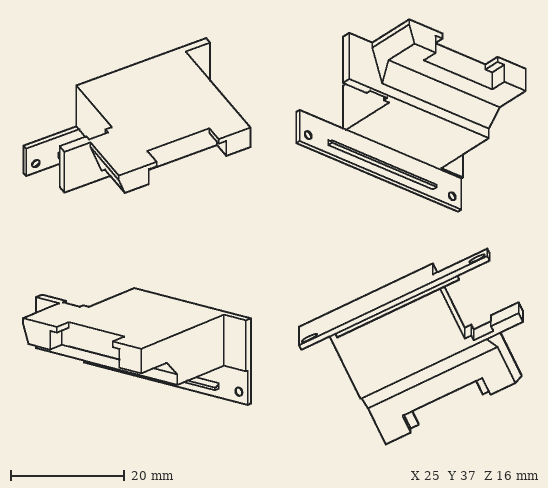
import cadquery as cq

length = 37.0
height = 16.0
plate_thickness = 0.95
plate_upper_thickness = 1.45

width = 24.98
body_bottom = 6.45
body_front = 10.7
body_back = 32.05

arm_left = 12.9
arm_right = 14.7
arm_front = 0.1
groove_depth = 0.95
groove_front = 5.55
groove_back = 9.4

wing_front = 5.35
wing_bottom = 11.4
wing_root_bottom = 8.4
gusset_end = 17.72
rim_thickness = 1.07
lean_run = 1.22
notch_front = 13.02
notch_back = 25.55
notch_depth = 3.35
notch_undercut = 1.55

ridge_end_margin = 6.5
ridge_bottom = 1.65
ridge_tip_top = 2.15
ridge_root_top = 2.7
ridge_tip = 2.05

hole_diameter = 1.5
sink_diameter = 3.05
sink_angle = 90
hole_inset = 2.05


def block(x_range, y_range, z_range):
    """Box given by its lower and upper limit along each axis."""
    limits = (x_range, y_range, z_range)
    sizes = [upper - lower for lower, upper in limits]
    corner = tuple(lower for lower, upper in limits)
    return cq.Workplane("XY").box(*sizes, centered=False).translate(corner)


def make_plate():
    lower = block((0, plate_thickness), (0, length), (0, body_bottom))
    upper = block((0, plate_upper_thickness), (body_front, length), (body_bottom, height))
    return lower.union(upper)


def make_body():
    main = block((0, arm_right), (body_front, body_back), (body_bottom, height))
    arm = block((arm_left, arm_right), (arm_front, body_front), (body_bottom, height))
    groove = block(
        (arm_left, arm_left + groove_depth), (groove_front, groove_back), (body_bottom, height)
    )
    return main.union(arm).cut(groove)


def make_wings():
    wings = (
        cq.Workplane("XZ", origin=(0, body_back, 0))
        .moveTo(arm_right, height)
        .lineTo(width, height)
        .lineTo(width, wing_bottom)
        .lineTo(gusset_end, wing_bottom)
        .lineTo(arm_right, wing_root_bottom)
        .close()
        .extrude(body_back - wing_front)
    )
    rim_bottom = height - rim_thickness
    slope = lean_run / (rim_bottom - wing_bottom)
    lean_end = wing_front + slope * (rim_bottom - body_bottom)
    lean = (
        cq.Workplane("YZ", origin=(arm_right, 0, 0))
        .moveTo(wing_front, rim_bottom)
        .lineTo(lean_end, body_bottom)
        .lineTo(wing_front, body_bottom)
        .close()
        .extrude(width - arm_right)
    )
    notch_range = (width - notch_depth, width)
    notch = block(notch_range, (notch_front, notch_back), (body_bottom, height))
    undercut = block(
        notch_range,
        (notch_front - notch_undercut, notch_back + notch_undercut),
        (body_bottom, rim_bottom),
    )
    return wings.cut(lean).cut(notch).cut(undercut)


def make_ridge():
    arc_point = (1.3, 2.35)
    return (
        cq.Workplane("XZ", origin=(0, length - ridge_end_margin, 0))
        .moveTo(0, ridge_bottom)
        .lineTo(ridge_tip, ridge_bottom)
        .lineTo(ridge_tip, ridge_tip_top)
        .threePointArc(arc_point, (plate_thickness, ridge_root_top))
        .lineTo(0, ridge_root_top)
        .close()
        .extrude(length - 2 * ridge_end_margin)
    )


def drill_holes(part):
    """Holes along X near the lower plate corners, countersunk on the outer face."""
    centers = [(-y, hole_inset) for y in (hole_inset, length - hole_inset)]
    outer_face = cq.Workplane(cq.Plane(origin=(0, 0, 0), xDir=(0, -1, 0), normal=(-1, 0, 0)))
    outer_face = outer_face.newObject([part.val()])
    return outer_face.pushPoints(centers).cskHole(
        hole_diameter, sink_diameter, sink_angle, plate_thickness
    )


result = drill_holes(make_plate().union(make_body()).union(make_wings()).union(make_ridge()))